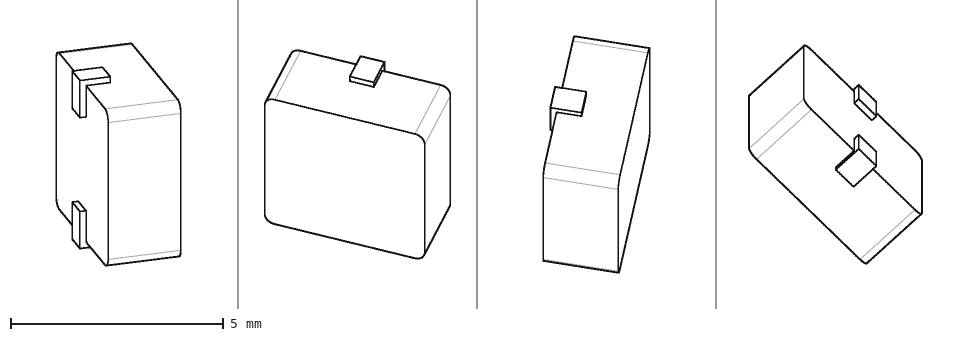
import cadquery as cq

body_size = 4.0
body_depth = 1.8
corner_radius = 0.25

terminal_width = 0.6
terminal_thickness = 0.15
pad_length = 0.95
wrap_length = 0.75

half_body = body_size / 2
terminal_end = half_body + terminal_thickness


def make_body():
    """Square block with rounded corners, mounting face on Y = 0."""
    block = cq.Workplane("XY").box(body_size, body_depth, body_size, centered=(True, False, True))
    return block.edges("|Y").fillet(corner_radius)


def make_terminal(side):
    """L-shaped strip at the top (side = 1) or bottom (side = -1) of the body."""
    outline = [
        (-terminal_thickness, side * terminal_end),
        (wrap_length - terminal_thickness, side * terminal_end),
        (wrap_length - terminal_thickness, side * half_body),
        (0, side * half_body),
        (0, side * (terminal_end - pad_length)),
        (-terminal_thickness, side * (terminal_end - pad_length)),
    ]
    return cq.Workplane("YZ").polyline(outline).close().extrude(terminal_width / 2, both=True)


result = make_body()
for side in (1, -1):
    result = result.union(make_terminal(side))